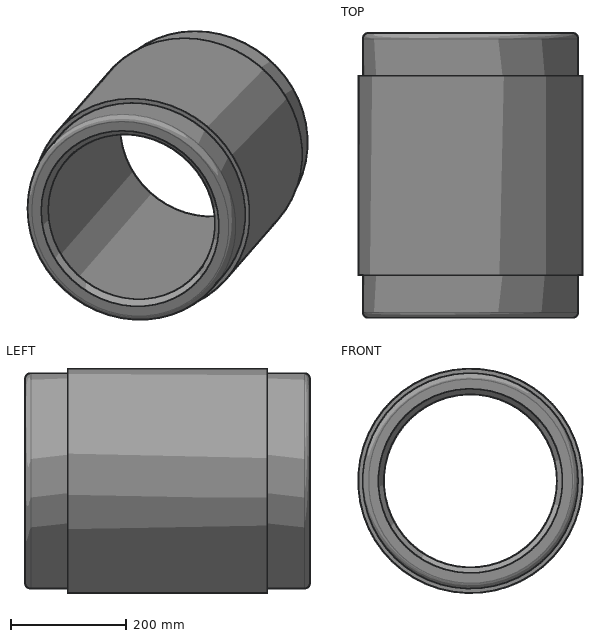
import cadquery as cq

length = 495.0
sleeve_diameter = 390.0
sleeve_length = 346.5
end_diameter = 374.0
bore_diameter = 300.0
rim_fillet = 10.0
bore_chamfer = 10.0


def cylinder(diameter, height):
    """Solid cylinder along Y, centred on the origin."""
    return cq.Workplane("XZ", origin=(0, height / 2, 0)).circle(diameter / 2).extrude(height)


body = cylinder(end_diameter, length).faces("<Y or >Y").edges().fillet(rim_fillet)

sleeve = cylinder(sleeve_diameter, sleeve_length)
tube = body.union(sleeve).cut(cylinder(bore_diameter, length))

mouth_edges = tube.faces("<Y or >Y").edges(cq.selectors.RadiusNthSelector(0))
result = mouth_edges.chamfer(bore_chamfer)